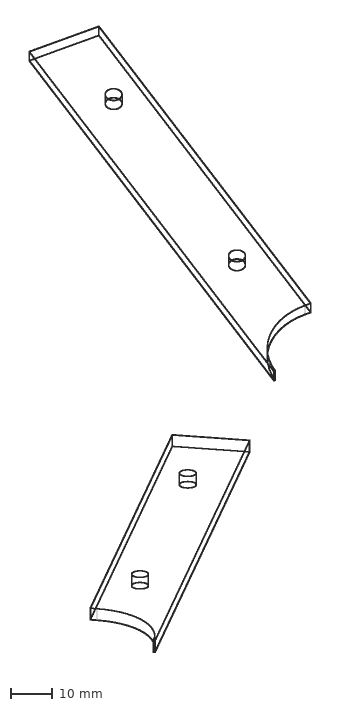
import cadquery as cq
import math

length = 126.8
width = 19.0
thickness = 3.0

scoop_radius = 17.0
tip_width = 0.4

hole_diameter = 4.0
first_hole_x = 22.8
hole_spacing = 63.9
hole_y = 11.0


def make_plate():
    """Flat strip whose right end sweeps down to a narrow tip."""
    shoulder_x = length - scoop_radius
    center_y = tip_width + scoop_radius
    diagonal_offset = scoop_radius * math.sqrt(0.5)
    arc_middle = (length - diagonal_offset, center_y - diagonal_offset)
    return (
        cq.Workplane("XY")
        .moveTo(0, 0)
        .lineTo(length, 0)
        .lineTo(length, tip_width)
        .threePointArc(arc_middle, (shoulder_x, center_y))
        .lineTo(shoulder_x, width)
        .lineTo(0, width)
        .close()
        .extrude(thickness)
    )


def drill_holes(plate):
    """Two equal holes through the full thickness."""
    centers = [(first_hole_x, hole_y), (first_hole_x + hole_spacing, hole_y)]
    cutters = (
        cq.Workplane("XY")
        .pushPoints(centers)
        .circle(hole_diameter / 2)
        .extrude(thickness)
    )
    return plate.cut(cutters)


result = drill_holes(make_plate())